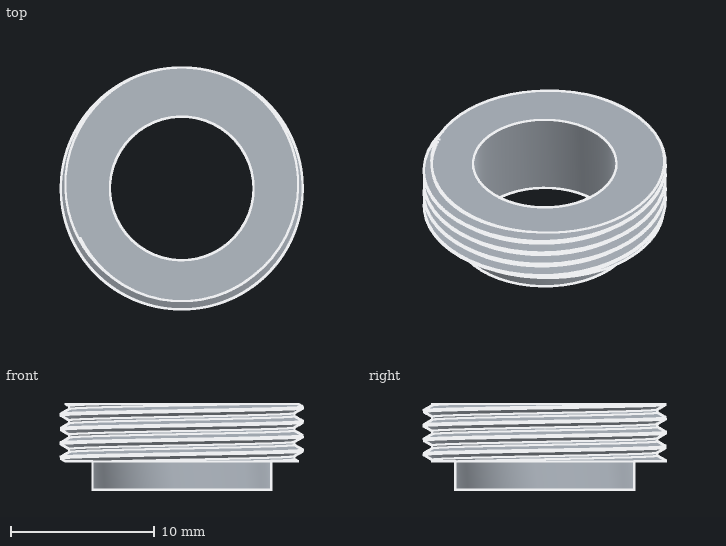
import cadquery as cq
import math

bore_diameter = 10.0
spigot_diameter = 12.5
spigot_height = 2.0
collar_height = 4.0

thread_major_diameter = 16.88
thread_minor_diameter = 15.74
thread_pitch = 1.0
flank_angle = 30.0
crest_width = thread_pitch / 8
crest_start_angle = 90.0
root_overlap = 0.05

total_height = spigot_height + collar_height
core_radius = thread_minor_diameter / 2
crest_radius = thread_major_diameter / 2


def ring(outer_diameter, base_z, height):
    """Plain tube around the Z axis with the through bore."""
    return (
        cq.Workplane("XY", origin=(0, 0, base_z))
        .circle(outer_diameter / 2)
        .circle(bore_diameter / 2)
        .extrude(height)
    )


def thread_ridge():
    """Helical ridge that runs one pitch past both ends of the collar."""
    ridge_height = collar_height + 2 * thread_pitch
    base_radius = core_radius - root_overlap
    half_crest = crest_width / 2
    flank_rise = (crest_radius - base_radius) * math.tan(math.radians(flank_angle))
    half_base = half_crest + flank_rise

    path = cq.Wire.makeHelix(thread_pitch, ridge_height, core_radius)
    ridge = (
        cq.Workplane("XZ")
        .polyline([
            (base_radius, -half_base),
            (crest_radius, -half_crest),
            (crest_radius, half_crest),
            (base_radius, half_base),
        ])
        .close()
        .sweep(cq.Workplane(obj=path), isFrenet=True)
    )
    return (
        ridge.rotate((0, 0, 0), (0, 0, 1), crest_start_angle)
        .translate((0, 0, spigot_height - thread_pitch))
    )


def threaded_collar():
    """Collar core with the ridge trimmed flat at the two end faces."""
    trim_diameter = 2 * thread_major_diameter
    trimmed_ridge = thread_ridge().intersect(ring(trim_diameter, spigot_height, collar_height))
    return ring(thread_minor_diameter, spigot_height, collar_height).union(trimmed_ridge)


spigot = ring(spigot_diameter, 0, total_height)
result = threaded_collar().union(spigot)